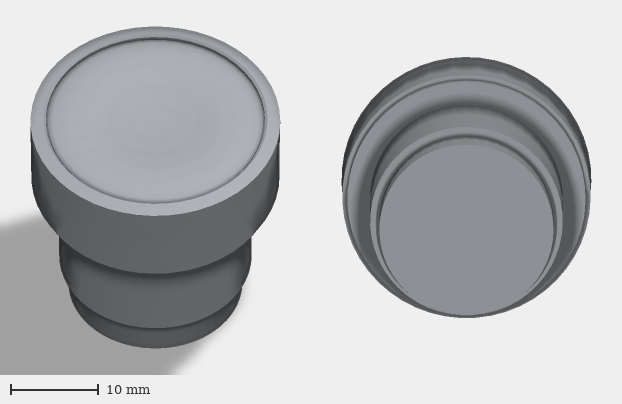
import cadquery as cq
import math

base_radius = 9.95
stem_radius = 11.0
collar_radius = 13.6
head_bottom_radius = 14.18
head_top_radius = 14.27
base_top = 4.78
stem_top = 17.35
collar_top = 18.6
head_side_top = 28.25
total_height = 28.65

bezel_inner_radius = 12.8
groove_outer_radius = 12.52
bezel_bevel_depth = 0.23
groove_floor = 27.95

button_radius = 12.32
crown_outer_radius = 11.85
dish_radius = 7.6
button_side_top = 28.1
crown_edge_height = 28.3
dish_rim_height = 28.54
dish_depth = 0.6
crown_bulge = 0.2

dish_floor = dish_rim_height - dish_depth
sphere_radius = (dish_radius**2 + dish_depth**2) / (2 * dish_depth)
half_angle = math.asin(dish_radius / sphere_radius) / 2
dish_middle = (
    sphere_radius * math.sin(half_angle),
    dish_floor + sphere_radius * (1 - math.cos(half_angle)),
)
crown_middle = (
    (dish_radius + crown_outer_radius) / 2,
    (dish_rim_height + crown_edge_height) / 2 + crown_bulge,
)

half_section = (
    cq.Workplane("XZ")
    .moveTo(0, 0)
    .lineTo(base_radius, 0)
    .lineTo(base_radius, base_top)
    .lineTo(stem_radius, base_top)
    .lineTo(stem_radius, stem_top)
    .lineTo(collar_radius, stem_top)
    .lineTo(collar_radius, collar_top)
    .lineTo(head_bottom_radius, collar_top)
    .lineTo(head_top_radius, head_side_top)
    .lineTo(bezel_inner_radius, total_height)
    .lineTo(groove_outer_radius, total_height - bezel_bevel_depth)
    .lineTo(groove_outer_radius, groove_floor)
    .lineTo(button_radius, groove_floor)
    .lineTo(button_radius, button_side_top)
    .lineTo(crown_outer_radius, crown_edge_height)
    .threePointArc(crown_middle, (dish_radius, dish_rim_height))
    .threePointArc(dish_middle, (0, dish_floor))
    .close()
)

result = half_section.revolve(360, (0, 0, 0), (0, 1, 0))